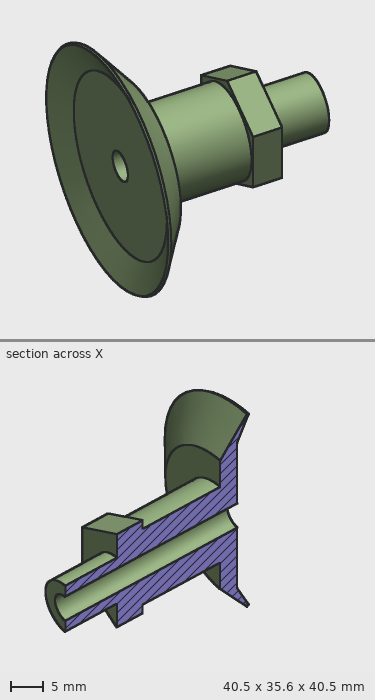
import cadquery as cq
import math


cup_height = 5.6
body_length = 15.0
hex_length = 5.0
stem_length = 10.0
rim_height = 0.4
recess_depth = 2.25

cup_diameter = 40.5
lip_diameter = 40.0
cup_back_diameter = 27.0
cup_floor_diameter = 30.5
body_diameter = 16.0
stem_diameter = 9.728
bore_diameter = 5.0

hex_sides = 6
hex_across_flats = 17.0
hex_across_corners = hex_across_flats / math.cos(math.pi / hex_sides)
hex_turn = 90

body_start = cup_height
hex_start = body_start + body_length
stem_start = hex_start + hex_length
total_length = stem_start + stem_length


def section_plane(y):
    """Plane square to the axis at y, facing +Y."""
    return cq.Workplane(cq.Plane(origin=(0, y, 0), xDir=(1, 0, 0), normal=(0, 1, 0)))


def make_cylinder(diameter, start, length):
    """Cylinder on the axis, running toward +Y from start."""
    return section_plane(start).circle(diameter / 2).extrude(length)


def make_cup():
    """Solid cone with a shallow flared recess, revolved from its half section."""
    half_section = [
        (0, recess_depth),
        (cup_floor_diameter / 2, recess_depth),
        (lip_diameter / 2, 0),
        (cup_diameter / 2, rim_height),
        (cup_back_diameter / 2, cup_height),
        (0, cup_height),
    ]
    return cq.Workplane("XY").polyline(half_section).close().revolve(360, (0, 0), (0, 1))


def make_hex():
    """Hexagon with two flats facing -X and +X."""
    blank = section_plane(hex_start).polygon(hex_sides, hex_across_corners).extrude(hex_length)
    return blank.rotate((0, 0, 0), (0, 1, 0), hex_turn)


body = make_cylinder(body_diameter, body_start, body_length)
stem = make_cylinder(stem_diameter, stem_start, stem_length)
bore = make_cylinder(bore_diameter, 0, total_length)

result = make_cup().union(body).union(make_hex()).union(stem).cut(bore)